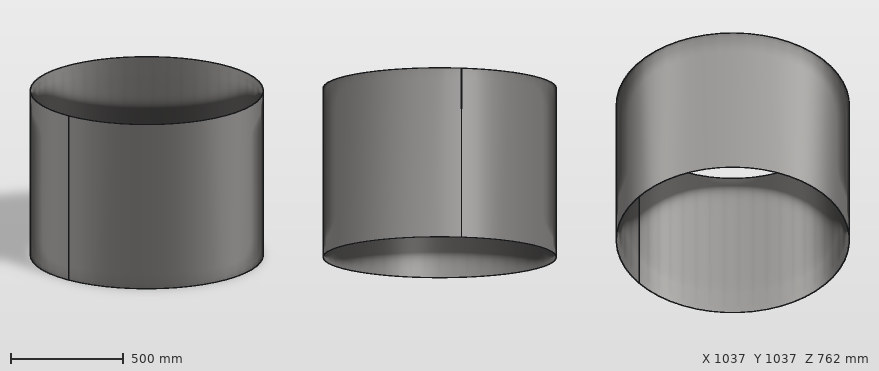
import cadquery as cq
import math

outer_diameter = 1037.0
inner_diameter = 1033.0
height = 762.0
seam_gap = 1.0

outer_radius = outer_diameter / 2
inner_radius = inner_diameter / 2
half_gap = seam_gap / 2

outer_end_y = -math.sqrt(outer_radius**2 - half_gap**2)
inner_end_y = -math.sqrt(inner_radius**2 - half_gap**2)

result = (
    cq.Workplane("XY")
    .moveTo(half_gap, outer_end_y)
    .threePointArc((0, outer_radius), (-half_gap, outer_end_y))
    .lineTo(-half_gap, inner_end_y)
    .threePointArc((0, inner_radius), (half_gap, inner_end_y))
    .close()
    .extrude(height)
)